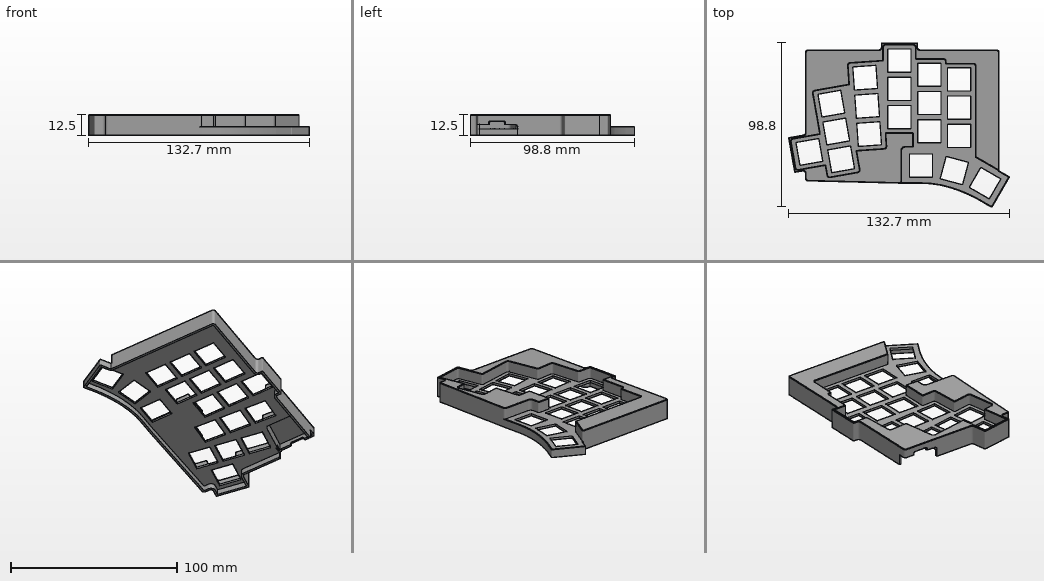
import cadquery as cq
import math


case_height = 12.5
plate_top = 5.5
plate_thickness = 1.5
plate_bottom = plate_top - plate_thickness
roof_thickness = 1.5

column_pitch = 18.0
row_pitch = 17.0
rows = (-1, 0, 1)
key_hole = 13.8

pocket_half_x = 9.7
pocket_half_y = 9.3
cell_half_x = 10.9
cell_half_y = 10.6
wall = 1.3

middle_home = (0, 0, 0)
index_home = (column_pitch, -8.5, 0)
inner_home = (36.0, -11.3, 0)
ring_home = (-19.4, -10.2, 4)
pinky_home = (-38.0, -25.6, 10)
finger_columns = [pinky_home, ring_home, middle_home, index_home, inner_home]

outer_pinky_drop = 9.3

thumb_turn = 15
thumb_keys = [(13.0, -46.2, 0), (33.1, -49.2, -thumb_turn), (51.5, -56.7, -2 * thumb_turn)]

case_left = -56.5
case_right = 60.0
case_back = 23.5
case_front_left = -55.4

hollow_radius = 1.3
thumb_corner_radius = 2.1
case_radius = 1.6
tip_radius = 0.43
proud_radius = 0.7
rim_chamfer = 0.4

thumb_margin_left = 11.7
thumb_margin_back = 11.2
thumb_recess_left = thumb_keys[0][0] - thumb_margin_left
thumb_recess_back = thumb_keys[0][1] + thumb_margin_back
recess_mouth = (thumb_recess_left, thumb_keys[0][1] - cell_half_y)
recess_overrun = 39.9

chamber_right = -32.7
chamber_radius = 2.1
opening_front = -0.8
opening_height = 6.6
opening_chamfer = 1.0
opening_wrap = 5.3
plug_centre = 11.5
plug_width = 9.3
plug_height = 8.4
plug_chamfer = 0.7
flare_angle = 45


def from_key(key, along, across):
    """Point given in the turned axes of a key."""
    x, y, turn = key
    c = math.cos(math.radians(turn))
    s = math.sin(math.radians(turn))
    return (x + along * c - across * s, y + along * s + across * c)


def meet(row_key, across, column_key, along):
    """Where a line along one key's row crosses a line along another key's column."""
    row_x, row_y, row_turn = row_key
    start_x, start_y = from_key(column_key, along, 0)
    row_angle = math.radians(row_turn)
    distance = across + (start_x - row_x) * math.sin(row_angle) - (start_y - row_y) * math.cos(row_angle)
    travel = distance / math.cos(math.radians(column_key[2] - row_turn))
    return from_key(column_key, along, travel)


def neighbour(key, along, across):
    """Key with the same turn, shifted in the turned axes."""
    return (*from_key(key, along, across), key[2])


def turned_box(key, size_x, size_y, bottom, top):
    x, y, turn = key
    box = cq.Workplane("XY").box(size_x, size_y, top - bottom, centered=(True, True, False))
    return box.rotate((0, 0, 0), (0, 0, 1), turn).translate((x, y, bottom))


outer_pinky = neighbour(pinky_home, -column_pitch, -outer_pinky_drop)
all_keys = [neighbour(home, 0, row * row_pitch) for home in finger_columns for row in rows]
all_keys += [outer_pinky, *thumb_keys]
last_thumb = thumb_keys[-1]
right_front_corner = meet(last_thumb, cell_half_y, middle_home, case_right)


def clockwise_turns(points):
    """Corners of a closed outline where it turns clockwise."""
    corners = []
    for i, (x, y) in enumerate(points):
        before_x, before_y = points[i - 1]
        after_x, after_y = points[(i + 1) % len(points)]
        if (x - before_x) * (after_y - y) < (y - before_y) * (after_x - x):
            corners.append((x, y))
    return corners


def round_uprights(body, points, radius):
    """Round the vertical edges that stand at the given points."""
    for x, y in points:
        nearest = cq.selectors.NearestToPointSelector((x, y, case_height / 2))
        body = body.edges("|Z").edges(nearest).fillet(radius)
    return body


def case_block(height):
    """The case as seen from above, with rounded uprights."""
    bump_back = row_pitch + cell_half_y
    thumb_fronts = [from_key(key, 0, -cell_half_y) for key in thumb_keys]
    front_left = (case_left, case_front_left)
    thumb_tip = [from_key(last_thumb, cell_half_x, across) for across in (-cell_half_y, cell_half_y)]
    bump = [(cell_half_x, bump_back), (-cell_half_x, bump_back)]
    bump_roots = [(cell_half_x, case_back), (-cell_half_x, case_back)]
    back_corners = [(case_right, case_back), (case_left, case_back)]
    pinky_tip = [from_key(outer_pinky, -cell_half_x, across) for across in (cell_half_y, -cell_half_y)]
    pinky_roots = [
        meet(outer_pinky, across, middle_home, case_left) for across in (cell_half_y, -cell_half_y)
    ]
    block = (
        cq.Workplane("XY")
        .moveTo(*front_left)
        .lineTo(*from_key(thumb_keys[0], -cell_half_x, -cell_half_y))
        .lineTo(*thumb_fronts[0])
        .tangentArcPoint(thumb_fronts[1], relative=False)
        .tangentArcPoint(thumb_fronts[2], relative=False)
        .lineTo(*thumb_tip[0])
        .lineTo(*thumb_tip[1])
        .lineTo(*right_front_corner)
        .lineTo(*back_corners[0])
        .lineTo(*bump_roots[0])
        .lineTo(*bump[0])
        .lineTo(*bump[1])
        .lineTo(*bump_roots[1])
        .lineTo(*back_corners[1])
        .lineTo(*pinky_roots[0])
        .lineTo(*pinky_tip[0])
        .lineTo(*pinky_tip[1])
        .lineTo(*pinky_roots[1])
        .close()
        .extrude(height)
    )
    block = round_uprights(block, [front_left, *back_corners, *bump_roots, *pinky_roots], case_radius)
    return round_uprights(block, [*thumb_tip, *bump, *pinky_tip], tip_radius)


def key_recess():
    """Recess around all keys, down to the plate and open to the front at the thumb."""
    side = pocket_half_x
    front = -row_pitch - pocket_half_y
    back = row_pitch + pocket_half_y
    index_left = index_home[0] - side
    index_right = index_home[0] + side
    index_back = index_home[1] + back
    inner_right = inner_home[0] + side
    inner_back = inner_home[1] + back
    beyond = case_right + recess_overrun
    below = last_thumb[1] - recess_overrun
    thumb_corner = (thumb_recess_left, thumb_recess_back)
    key_corners = [
        (index_left, thumb_recess_back),
        (index_left, front),
        meet(middle_home, front, ring_home, side),
        from_key(ring_home, side, front),
        meet(ring_home, front, pinky_home, side),
        from_key(pinky_home, side, front),
        from_key(pinky_home, -side, front),
        meet(outer_pinky, -pocket_half_y, pinky_home, -side),
        from_key(outer_pinky, -side, -pocket_half_y),
        from_key(outer_pinky, -side, pocket_half_y),
        meet(outer_pinky, pocket_half_y, pinky_home, -side),
        from_key(pinky_home, -side, back),
        meet(pinky_home, back, ring_home, -side),
        from_key(ring_home, -side, back),
        meet(ring_home, back, middle_home, -side),
        (-side, back),
        (side, back),
        (side, index_back),
        (index_right, index_back),
        (index_right, inner_back),
        (inner_right, inner_back),
        meet(last_thumb, cell_half_y, middle_home, inner_right),
    ]
    corners_past_case = [(beyond, right_front_corner[1]), (beyond, below), (thumb_recess_left, below)]
    corners = [*key_corners, right_front_corner, *corners_past_case, thumb_corner]
    clockwise_corners = clockwise_turns(corners)
    hollow_corners = [corner for corner in key_corners if corner in clockwise_corners]
    proud_corners = [corner for corner in key_corners if corner not in hollow_corners]
    recess = cq.Workplane("XY").polyline(corners).close().extrude(case_height)
    recess = round_uprights(recess, hollow_corners, hollow_radius)
    recess = round_uprights(recess, proud_corners, proud_radius)
    return round_uprights(recess, [thumb_corner], thumb_corner_radius)


def controller_chamber():
    """Space for the controller, with its front wall along the back of the pinky column."""
    left = case_left + wall
    line = pocket_half_y + row_pitch + wall
    chamber = (
        cq.Workplane("XY")
        .moveTo(*meet(pinky_home, line, middle_home, left))
        .lineTo(*meet(pinky_home, line, middle_home, chamber_right))
        .lineTo(chamber_right, case_back - wall)
        .lineTo(left, case_back - wall)
        .close()
        .extrude(case_height - roof_thickness)
    )
    return chamber.edges("|Z and >X").fillet(chamber_radius)


def plug_profile(start_x, margin):
    """Cross-section of the plug passage, widened by a margin, standing at start_x."""
    front = plug_centre - plug_width / 2 - margin
    back = plug_centre + plug_width / 2 + margin
    top = plug_height + margin
    return (
        cq.Workplane("YZ", origin=(start_x, 0, 0))
        .moveTo(front, 0)
        .lineTo(front, top - plug_chamfer)
        .lineTo(front + plug_chamfer, top)
        .lineTo(back - plug_chamfer, top)
        .lineTo(back, top - plug_chamfer)
        .lineTo(back, 0)
        .close()
    )


def cable_opening():
    """Opening in the left wall that wraps round the back corner, with room for the plug above."""
    outside_x = case_left - wall
    outside_y = case_back + wall
    reach = wall + opening_wrap
    opening = (
        cq.Workplane("YZ", origin=(outside_x, 0, 0))
        .moveTo(opening_front, 0)
        .lineTo(opening_front, opening_height - opening_chamfer)
        .lineTo(opening_front + opening_chamfer, opening_height)
        .lineTo(outside_y, opening_height)
        .lineTo(outside_y, 0)
        .close()
        .extrude(reach)
    )
    passage = plug_profile(outside_x, 0).extrude(reach)
    flare = plug_profile(case_left, rim_chamfer).extrude(rim_chamfer, taper=flare_angle)
    return opening.union(passage).union(flare)


tall_part = case_block(case_height).cut(key_recess())
tall_part = round_uprights(tall_part, [right_front_corner], tip_radius)
tall_part = round_uprights(tall_part, [recess_mouth], hollow_radius)
tall_part = tall_part.faces(">Z").chamfer(rim_chamfer)

plate = case_block(plate_top).faces(">Z").chamfer(rim_chamfer)
result = tall_part.union(plate)

under_plate = plate.faces("<Z").wires().toPending().offset2D(-wall).extrude(plate_bottom, combine=False)
result = result.cut(under_plate).cut(controller_chamber()).cut(cable_opening())

for key in all_keys:
    result = result.cut(turned_box(key, key_hole, key_hole, 0, plate_top))